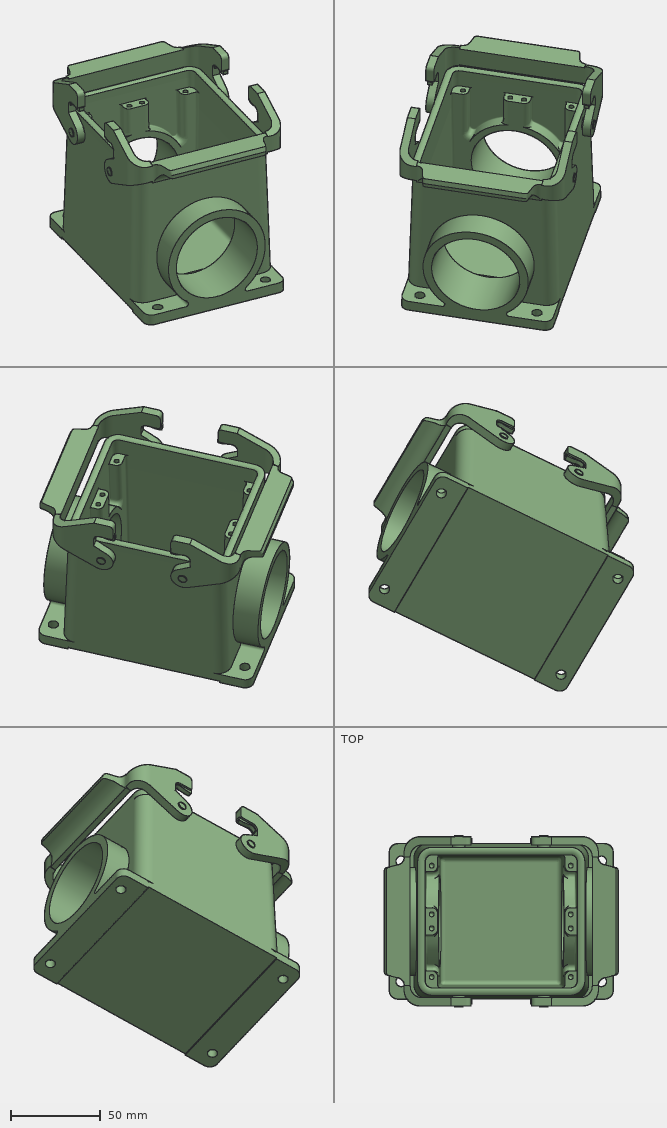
import cadquery as cq
import math

draft = 1.5

flange_half_x = 62.5
flange_half_y = 43.5
flange_top = 6.4
flange_corner = 5.0
relief_half_x = 44.2
relief_depth = 1.0
mount_hole_x = 55.9
mount_hole_y = 33.5
mount_hole_dia = 5.6

body_half_x = 48.8
wall_top = 84.7
wall_corner = 7.8
rim_edge = 89.7
rim_crown = 90.3
rim_width = 4.2

bore_dia = 50.5
boss_radius = 30.1
boss_z = 33.1
boss_root_fillet = 1.6

floor_z = 6.7
floor_half_x = 33.5
floor_fillet = 2.7
core_corner = 1.6
side_draft_top = 68.4

seat_z = 78.8
seat_edge_fillet = 3.3
corner_seat_y = 27.7
middle_seat_half_y = 7.6
saddle_radius = 29.2
saddle_fillet = 2.2
pad_root_fillet = 0.7
screw_hole_dia = 2.7
screw_hole_depth = 7.8
drill_point = 118.0
screw_hole_x = 38.8
screw_hole_ys = (-31.0, -3.9, 3.9, 31.0)

pivot_x = 23.8
pivot_z = 81.0
pin_dia = 4.8
pin_hole_dia = 5.1
pivot_boss_dia = 7.0
pin_span = 95.7

arm_outer_y = 47.2
arm_inner_y = 42.5
arm_radius = 6.9
lever_slope = 25.0
fork_slope = 30.0
hook_top = 109.9
hook_under_z = 99.8
hook_seat_dia = 7.0
hook_seat_x = 24.7
hook_top_fillet = 2.6
hook_tip_fillet = 1.2
lip_seat_dia = 5.6
lip_arc_half_angle = 30.0
lip_bottom = 97.9
lip_overhang = 0.5
lip_setback = 1.0
bar_outer_x = 54.2
bar_inner_x = 50.8
bar_outer_corner = 8.9
bar_inner_corner = 6.5
bar_top = 98.3
bar_half_y = 35.9
slope_foot_x = 52.9
handle_end_x = 65.2
handle_bottom = 93.5
handle_cove = 6.8
handle_bevel_x = 1.2
handle_bevel_z = 2.6
handle_half_y = 29.6
handle_flare = 14.0
handle_flare_fillet = 4.3
handle_corner = 1.7


selection_margin = 0.1


def edges_within(solid, low, high):
    """Edges whose centres lie in the box between two corners."""
    low = tuple(value - selection_margin for value in low)
    high = tuple(value + selection_margin for value in high)
    return solid.edges(cq.selectors.BoxSelector(low, high))


def rounded_block(half_x, half_y, z0, z1, radius):
    block = cq.Workplane("XY", origin=(0, 0, z0)).rect(2 * half_x, 2 * half_y).extrude(z1 - z0)
    return block.edges("|Z").fillet(radius)


draft_tan = math.tan(math.radians(draft))
wall_inset = wall_top * draft_tan
rim_half_x = body_half_x - wall_inset
rim_half_y = flange_half_y - wall_inset
inner_half_x = rim_half_x - rim_width
inner_half_y = rim_half_y - rim_width
inner_corner = wall_corner - rim_width
floor_half_y = inner_half_y - (side_draft_top - floor_z) * draft_tan
seat_face_x = floor_half_x + (seat_z - floor_z) * draft_tan


def flange():
    top_half_y = flange_half_y - flange_top * draft_tan
    plate = (
        cq.Workplane("YZ", origin=(-flange_half_x, 0, 0))
        .moveTo(-flange_half_y, 0)
        .lineTo(flange_half_y, 0)
        .lineTo(top_half_y, flange_top)
        .lineTo(-top_half_y, flange_top)
        .close()
        .extrude(2 * flange_half_x)
        .edges("not(|X or |Y)")
        .fillet(flange_corner)
    )
    relief = cq.Workplane("XY").box(
        2 * relief_half_x, 2 * flange_half_y, 2 * relief_depth
    )
    return plate.cut(relief)


def outer_wall():
    wall = (
        cq.Workplane("XY")
        .rect(2 * body_half_x, 2 * flange_half_y)
        .extrude(wall_top, taper=draft)
        .edges("not(|X or |Y)")
        .fillet(wall_corner)
    )
    below_flange = cq.Workplane("XY").box(
        2 * flange_half_x, 2 * flange_half_y, flange_top, centered=(True, True, False)
    )
    wall = wall.cut(below_flange)
    return wall.union(rounded_block(rim_half_x, rim_half_y, wall_top, rim_edge, wall_corner))


def crown():
    """Rim top whose cross-section is a shallow arc, swept round the rim."""
    half_width = rim_width / 2
    path = rounded_block(
        rim_half_x - half_width, rim_half_y - half_width, rim_edge, rim_crown, wall_corner - half_width
    ).faces("<Z").wires()
    profile = (
        cq.Workplane("XZ")
        .moveTo(rim_half_x - rim_width, rim_edge)
        .threePointArc((rim_half_x - half_width, rim_crown), (rim_half_x, rim_edge))
        .close()
    )
    return profile.sweep(path)


def entry_bosses():
    """Round cable entries on both ends, joined to the flange by a filleted neck."""
    length = 2 * flange_half_x
    tube = cq.Workplane("YZ", origin=(-flange_half_x, 0, boss_z)).circle(boss_radius).extrude(length)
    fillet_z = flange_top + boss_root_fillet
    reach = boss_radius + boss_root_fillet
    fillet_y = math.sqrt(reach**2 - (boss_z - fillet_z) ** 2)
    tangent_y = fillet_y * boss_radius / reach
    tangent_z = boss_z - (boss_z - fillet_z) * boss_radius / reach
    tip_y = fillet_y - boss_root_fillet
    neck = (
        cq.Workplane("YZ", origin=(-flange_half_x, 0, 0))
        .moveTo(tangent_y, tangent_z)
        .threePointArc((tip_y, fillet_z), (fillet_y, flange_top))
        .lineTo(-fillet_y, flange_top)
        .threePointArc((-tip_y, fillet_z), (-tangent_y, tangent_z))
        .close()
        .extrude(length)
    )
    return tube.union(neck)


def pad_wedge():
    """Space between the drafted faces of the two end pads, over the full inside width."""
    return (
        cq.Workplane("XZ", origin=(0, inner_half_y, 0))
        .moveTo(-floor_half_x, floor_z)
        .lineTo(floor_half_x, floor_z)
        .lineTo(seat_face_x, seat_z)
        .lineTo(-seat_face_x, seat_z)
        .close()
        .extrude(2 * inner_half_y)
    )


def core():
    """Cavity between the end pads, with side walls that are drafted only in their lower part."""
    side_walls = (
        cq.Workplane("YZ", origin=(-inner_half_x, 0, 0))
        .moveTo(-floor_half_y, floor_z)
        .lineTo(floor_half_y, floor_z)
        .lineTo(inner_half_y, side_draft_top)
        .lineTo(inner_half_y, seat_z)
        .lineTo(-inner_half_y, seat_z)
        .lineTo(-inner_half_y, side_draft_top)
        .close()
        .extrude(2 * inner_half_x)
    )
    space = pad_wedge().intersect(side_walls)
    space = space.edges("not(|X or |Y)").fillet(core_corner)
    return space.faces("<Z").edges().fillet(floor_fillet)


def saddle_crease(side_y, direction):
    """Start, middle and end of the arc that blends a seat side into the saddle; (y, z) points."""
    reach = saddle_radius + saddle_fillet
    centre_y = side_y + direction * saddle_fillet
    rise = math.sqrt(reach**2 - centre_y**2)
    centre_z = boss_z + rise
    start = (side_y, centre_z)
    end = (centre_y * saddle_radius / reach, boss_z + rise * saddle_radius / reach)
    chord_y = (start[0] + end[0]) / 2 - centre_y
    chord_z = (start[1] + end[1]) / 2 - centre_z
    scale = saddle_fillet / math.hypot(chord_y, chord_z)
    middle = (centre_y + chord_y * scale, centre_z + chord_z * scale)
    return start, middle, end


def round_seat_edge(seat, side_y):
    """Round the upright inner edge of a seat; the rounding follows the crease arc."""
    edge = edges_within(seat, (floor_half_x, side_y, boss_z), (seat_face_x, side_y, seat_z))
    return edge.edges("not(|X or |Y)").fillet(seat_edge_fillet)


def corner_seat():
    start, middle, end = saddle_crease(corner_seat_y, -1)
    seat = (
        cq.Workplane("YZ")
        .moveTo(inner_half_y, boss_z)
        .lineTo(inner_half_y, seat_z)
        .lineTo(corner_seat_y, seat_z)
        .lineTo(*start)
        .threePointArc(middle, end)
        .lineTo(end[0], boss_z)
        .close()
        .extrude(rim_half_x)
        .cut(pad_wedge())
    )
    return round_seat_edge(seat, corner_seat_y)


def middle_seat():
    start, middle, end = saddle_crease(middle_seat_half_y, 1)
    seat = (
        cq.Workplane("YZ")
        .moveTo(-middle_seat_half_y, seat_z)
        .lineTo(middle_seat_half_y, seat_z)
        .lineTo(*start)
        .threePointArc(middle, end)
        .lineTo(end[0], boss_z)
        .lineTo(-end[0], boss_z)
        .lineTo(-end[0], end[1])
        .threePointArc((-middle[0], middle[1]), (-start[0], start[1]))
        .close()
        .extrude(rim_half_x)
        .cut(pad_wedge())
    )
    seat = round_seat_edge(seat, middle_seat_half_y)
    return round_seat_edge(seat, -middle_seat_half_y)


def end_pads():
    """Seats and bore saddle standing on the inside of both end walls."""
    below_axis = cq.Workplane("YZ").center(0, boss_z / 2).rect(2 * inner_half_y, boss_z).extrude(rim_half_x)
    saddle = cq.Workplane("YZ", origin=(0, 0, boss_z)).circle(saddle_radius).extrude(rim_half_x)
    saddle = saddle.union(below_axis).cut(pad_wedge())
    seat = corner_seat()
    pad = saddle.union(middle_seat()).union(seat).union(seat.mirror("XZ"))
    return pad.union(pad.mirror("YZ"))


def end_pockets():
    """Full inside of the rim, with end walls drafted below the rim."""
    low_half_x = inner_half_x - (wall_top - floor_z) * draft_tan
    room = (
        cq.Workplane("XZ", origin=(0, inner_half_y, 0))
        .moveTo(-low_half_x, floor_z)
        .lineTo(low_half_x, floor_z)
        .lineTo(inner_half_x, wall_top)
        .lineTo(inner_half_x, rim_crown)
        .lineTo(-inner_half_x, rim_crown)
        .lineTo(-inner_half_x, wall_top)
        .close()
        .extrude(2 * inner_half_y)
    )
    room = room.edges("not(|X or |Y)").fillet(inner_corner)
    pockets = room.cut(end_pads()).cut(pad_wedge())
    for end in (-1, 1):
        wall_xs = sorted((end * low_half_x, end * inner_half_x))
        low = (wall_xs[0], -corner_seat_y, boss_z)
        high = (wall_xs[1], corner_seat_y, seat_z - 2 * selection_margin)
        pockets = edges_within(pockets, low, high).fillet(pad_root_fillet)
    return pockets


def screw_holes():
    """Blind holes with drilled points in the seats."""
    radius = screw_hole_dia / 2
    tip_z = seat_z - screw_hole_depth - radius / math.tan(math.radians(drill_point / 2))
    drill = (
        cq.Workplane("XZ")
        .moveTo(0, seat_z)
        .lineTo(radius, seat_z)
        .lineTo(radius, seat_z - screw_hole_depth)
        .lineTo(0, tip_z)
        .close()
        .revolve(360, (0, 0), (0, 1))
    )
    holes = cq.Workplane("XY")
    for x in (-screw_hole_x, screw_hole_x):
        for y in screw_hole_ys:
            holes = holes.add(drill.translate((x, y, 0)))
    return holes.combine()


def pivot_pins():
    """Lever pins on both side walls, each rising from a low round boss."""
    root_y = rim_half_y - rim_width / 2
    pins = cq.Workplane("XY")
    for x in (-pivot_x, pivot_x):
        for outward in (-1, 1):
            for diameter, end_y in ((pivot_boss_dia, arm_inner_y), (pin_dia, pin_span / 2)):
                start = cq.Vector(x, outward * root_y, pivot_z)
                axis = cq.Vector(0, outward, 0)
                pins = pins.add(cq.Solid.makeCylinder(diameter / 2, end_y - root_y, start, axis))
    return pins.combine()


def make_housing():
    shell = flange().union(outer_wall()).union(entry_bosses()).union(pivot_pins())
    shell = shell.cut(core().union(end_pockets())).union(crown())
    bore_length = flange_half_x - floor_half_x
    bore = (
        cq.Workplane("YZ", origin=(floor_half_x, 0, boss_z))
        .circle(bore_dia / 2)
        .extrude(bore_length)
    )
    bores = bore.union(bore.mirror("YZ"))
    mount_holes = (
        cq.Workplane("XY")
        .rect(2 * mount_hole_x, 2 * mount_hole_y, forConstruction=True)
        .vertices()
        .circle(mount_hole_dia / 2)
        .extrude(flange_top)
    )
    return shell.cut(bores).cut(screw_holes()).cut(mount_holes)


hook_tip_x = pivot_x - arm_radius
hook_seat_radius = hook_seat_dia / 2
seat_centre_z = hook_under_z - hook_seat_radius
seat_back_x = hook_seat_x + hook_seat_radius


def arm_side():
    """Outline of the arms in the XZ plane, extruded over the full width of the lever."""
    slope = math.radians(lever_slope)
    fork = math.radians(fork_slope)
    shoulder_x = slope_foot_x - (hook_top - bar_top) / math.tan(slope)
    upper_end_z = bar_top - (bar_outer_x - slope_foot_x) * math.tan(slope)
    low_x = pivot_x + arm_radius * math.sin(slope)
    low_z = pivot_z - arm_radius * math.cos(slope)
    lower_end_z = low_z + (bar_outer_x - low_x) * math.tan(slope)
    fork_x = pivot_x - arm_radius * math.sin(fork)
    fork_z = pivot_z + arm_radius * math.cos(fork)
    fork_back_z = fork_z + (seat_back_x - fork_x) * math.tan(fork)
    return (
        cq.Workplane("XZ", origin=(0, arm_outer_y, 0))
        .moveTo(hook_tip_x, hook_top)
        .lineTo(shoulder_x, hook_top)
        .lineTo(bar_outer_x, upper_end_z)
        .lineTo(bar_outer_x, lower_end_z)
        .lineTo(low_x, low_z)
        .threePointArc((hook_tip_x, pivot_z), (fork_x, fork_z))
        .lineTo(seat_back_x, fork_back_z)
        .lineTo(seat_back_x, seat_centre_z)
        .radiusArc((hook_seat_x, hook_under_z), -hook_seat_radius)
        .lineTo(hook_tip_x, hook_under_z)
        .close()
        .extrude(2 * arm_outer_y)
    )


def arms():
    """Both arms with the bends that carry them to the ends of the bar."""
    bottom = pivot_z - arm_radius
    frame = rounded_block(bar_outer_x, arm_outer_y, bottom, hook_top, bar_outer_corner)
    inside = rounded_block(bar_inner_x, arm_inner_y, bottom, hook_top, bar_inner_corner)
    bar_span = cq.Workplane("XY").box(
        2 * bar_outer_x, 2 * bar_half_y, hook_top, centered=(True, True, False)
    )
    return arm_side().intersect(frame).cut(inside).cut(bar_span)


def handle_side():
    """Outline of the bar and handle in the XZ plane."""
    cove_mid = handle_cove * math.sqrt(0.5)
    cove_x = bar_outer_x + handle_cove
    cove_z = handle_bottom - handle_cove
    return (
        cq.Workplane("XZ", origin=(0, bar_half_y, 0))
        .moveTo(bar_inner_x, bar_top)
        .lineTo(handle_end_x - handle_bevel_x, bar_top)
        .lineTo(handle_end_x, bar_top - handle_bevel_z)
        .lineTo(handle_end_x, handle_bottom)
        .lineTo(cove_x, handle_bottom)
        .threePointArc((cove_x - cove_mid, cove_z + cove_mid), (bar_outer_x, cove_z))
        .lineTo(bar_inner_x, cove_z)
        .close()
        .extrude(2 * bar_half_y)
    )


def handle_plan():
    """Outline of the bar and handle in the XY plane, with flared handle sides."""
    flare = math.tan(math.radians(handle_flare))
    root_half_y = handle_half_y + (handle_end_x - bar_outer_x) * flare
    plan = (
        cq.Workplane("XY")
        .moveTo(bar_inner_x, bar_half_y)
        .lineTo(bar_outer_x, bar_half_y)
        .lineTo(bar_outer_x, root_half_y)
        .lineTo(handle_end_x, handle_half_y)
        .lineTo(handle_end_x, -handle_half_y)
        .lineTo(bar_outer_x, -root_half_y)
        .lineTo(bar_outer_x, -bar_half_y)
        .lineTo(bar_inner_x, -bar_half_y)
        .close()
        .extrude(hook_top)
    )
    roots = edges_within(plan, (bar_outer_x, -root_half_y, 0), (bar_outer_x, root_half_y, hook_top))
    return roots.edges("|Z").fillet(handle_flare_fillet)


def handle():
    bar = handle_side().intersect(handle_plan())
    low = (handle_end_x - handle_bevel_x, -bar_half_y, handle_bottom)
    high = (handle_end_x, bar_half_y, bar_top)
    return edges_within(bar, low, high).edges("not(|X or |Y)").fillet(handle_corner)


def hook_lips():
    """Latching bumps under the hooks, set back from both faces of each arm."""
    lip_tip_x = hook_tip_x - lip_overhang
    lip_seat_radius = lip_seat_dia / 2
    arc_half_width = lip_seat_radius * math.sin(math.radians(lip_arc_half_angle))
    arc_z = seat_centre_z + lip_seat_radius * math.cos(math.radians(lip_arc_half_angle))
    lip = (
        cq.Workplane("XZ", origin=(0, arm_outer_y - lip_setback, 0))
        .moveTo(lip_tip_x, hook_under_z + lip_overhang)
        .lineTo(lip_tip_x, lip_bottom + lip_overhang)
        .lineTo(lip_tip_x + lip_overhang, lip_bottom)
        .lineTo(hook_tip_x + lip_seat_radius, lip_bottom)
        .lineTo(hook_seat_x - arc_half_width, arc_z)
        .threePointArc(
            (hook_seat_x + arc_half_width, arc_z),
            (hook_seat_x + lip_seat_radius, seat_centre_z),
        )
        .lineTo(seat_back_x + lip_overhang, seat_centre_z)
        .lineTo(seat_back_x + lip_overhang, hook_under_z + lip_overhang)
        .close()
        .extrude(arm_outer_y - arm_inner_y - 2 * lip_setback)
    )
    return lip.union(lip.mirror("XZ"))


def make_lever(side):
    """Lever on the +X side (side = 1) or its mirror image on the -X side (side = -1)."""
    lever = arms().union(handle())
    for z, radius in ((hook_top, hook_top_fillet), (hook_under_z, hook_tip_fillet)):
        low = (hook_tip_x, -arm_outer_y, z)
        high = (hook_tip_x, arm_outer_y, z)
        lever = edges_within(lever, low, high).edges("|Y").fillet(radius)
    pin_hole = (
        cq.Workplane("XZ", origin=(pivot_x, arm_outer_y, pivot_z))
        .circle(pin_hole_dia / 2)
        .extrude(2 * arm_outer_y)
    )
    lever = lever.union(hook_lips()).cut(pin_hole)
    return lever if side > 0 else lever.mirror("YZ")


housing = make_housing()
levers = [make_lever(side) for side in (-1, 1)]
result = cq.Compound.makeCompound([housing.val(), *[lever.val() for lever in levers]])